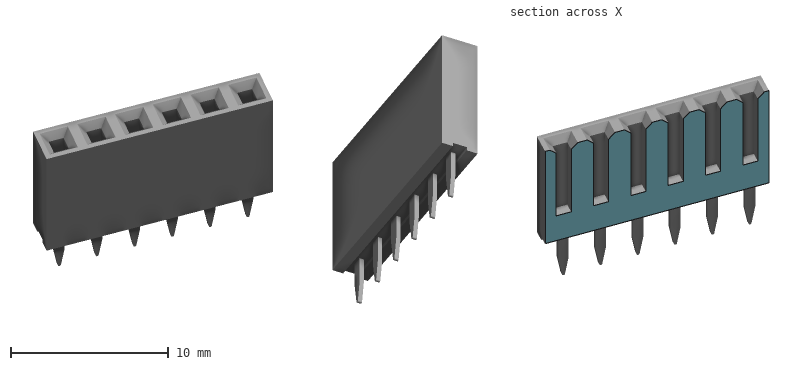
import cadquery as cq


pitch = 2.54
contact_count = 6
contact_positions = [(i - (contact_count - 1) / 2) * pitch for i in range(contact_count)]

housing_width = pitch
housing_length = contact_count * pitch
housing_height = 8.5

channel_width = 1.0
channel_depth = 0.25

mouth_size = 1.9
well_size = 1.0
funnel_depth = (mouth_size - well_size) / 2
socket_depth = 6.0
socket_floor = housing_height - socket_depth

pin_thickness = 0.3
pin_width = 0.7
pin_reach = 3.0
taper_length = 1.5
tip_radius = 0.1


def make_pin(y):
    """One flat pin, centred on X = 0 at the given place along the row."""
    tip_bottom = -pin_reach
    taper_top = tip_bottom + taper_length
    taper_bottom = tip_bottom + tip_radius
    return (
        cq.Workplane("YZ")
        .moveTo(-tip_radius, taper_bottom)
        .lineTo(-pin_width / 2, taper_top)
        .lineTo(-pin_width / 2, socket_floor)
        .lineTo(pin_width / 2, socket_floor)
        .lineTo(pin_width / 2, taper_top)
        .lineTo(tip_radius, taper_bottom)
        .threePointArc((0, tip_bottom), (-tip_radius, taper_bottom))
        .close()
        .extrude(pin_thickness / 2, both=True)
        .translate((0, y, 0))
    )


def make_socket_cut(y):
    """Funnel and well removed from the housing above one pin."""
    funnel = (
        cq.Workplane("XY", origin=(0, y, housing_height))
        .rect(mouth_size, mouth_size)
        .workplane(offset=-funnel_depth)
        .rect(well_size, well_size)
        .loft(ruled=True)
    )
    well = (
        cq.Workplane("XY", origin=(0, y, socket_floor))
        .rect(well_size, well_size)
        .extrude(socket_depth - funnel_depth)
    )
    return funnel.union(well)


def make_pin_slot(y):
    """Slot through the socket floor that fits the pin exactly."""
    return (
        cq.Workplane("XY", origin=(0, y, 0))
        .rect(pin_thickness, pin_width)
        .extrude(socket_floor)
    )


def make_housing():
    """Block with the underside channel, the sockets and the pin slots cut out."""
    block = cq.Workplane("XY").rect(housing_width, housing_length).extrude(housing_height)
    channel = cq.Workplane("XY").rect(channel_width, housing_length).extrude(channel_depth)
    body = block.cut(channel)
    for y in contact_positions:
        body = body.cut(make_socket_cut(y))
        body = body.cut(make_pin_slot(y))
    return body


housing = make_housing()
pins = [make_pin(y) for y in contact_positions]

result = cq.Compound.makeCompound([housing.val(), *[pin.val() for pin in pins]])